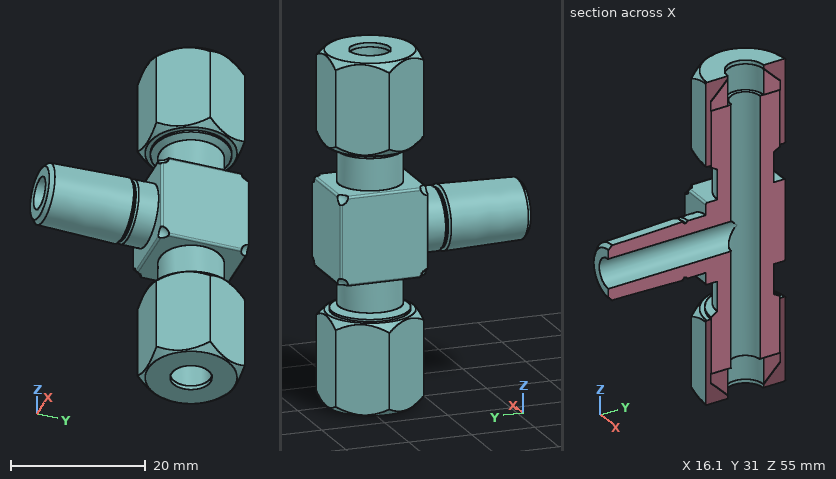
import cadquery as cq
import math

TOTAL_HEIGHT = 55.0
HALF_HEIGHT = TOTAL_HEIGHT / 2

BLOCK_WIDTH = 12.1
BLOCK_EDGE_RADIUS = 0.35
CORNER_NOTCH_RADIUS = 1.25

FLOW_DIAMETER = 5.0
TUBE_HOLE_DIAMETER = 6.2

NECK_RADIUS = 4.95
THREAD_RADIUS = 6.05
THREAD_START = 12.7
THREAD_CHAMFER_HEIGHT = 0.65

BRANCH_REACH = 17.0
GROOVE_START = 10.1
GROOVE_END = 11.0
GROOVE_FLANK = 0.35
GROOVE_RADIUS = 4.6
TAPER_START_RADIUS = 5.05
TAPER_END_RADIUS = 4.75
TIP_CHAMFER = 0.65

NUT_ACROSS_CORNERS = 16.15
NUT_START = 13.05
NUT_FACE_RADIUS = 6.8
NUT_LIP = 0.65

RING_LENGTH = 4.4

NUT_ACROSS_FLATS = NUT_ACROSS_CORNERS * math.cos(math.radians(30))
BLOCK_SIDE = NUT_ACROSS_FLATS
BRANCH_LENGTH = BLOCK_SIDE / 2 + BRANCH_REACH
FLOW_RADIUS = FLOW_DIAMETER / 2
TUBE_RADIUS = TUBE_HOLE_DIAMETER / 2
RING_OUTER_END = HALF_HEIGHT - NUT_LIP
STUD_END = RING_OUTER_END - RING_LENGTH
RING_CONE_END = RING_OUTER_END - (THREAD_RADIUS - TUBE_RADIUS)

END_SIGNS = (1, -1)


def revolved(profile):
    """Solid of revolution about Z from (radius, height) points."""
    return cq.Workplane("XZ").polyline(profile).close().revolve(360, (0, 0, 0), (0, 1, 0))


def facing(solid, sign):
    """Leave an upper-end solid in place, or mirror it to the lower end."""
    if sign > 0:
        return solid
    return solid.mirror("XY")


def make_block():
    """Rounded central block with ball notches at its eight corners."""
    block = cq.Workplane("XY").box(BLOCK_WIDTH, BLOCK_SIDE, BLOCK_SIDE)
    corners = block.vertices().vals()
    block = block.edges().fillet(BLOCK_EDGE_RADIUS)
    for corner in corners:
        outward_turn = math.degrees(math.atan2(corner.Y, corner.X))
        ball = cq.Workplane("XY").sphere(CORNER_NOTCH_RADIUS)
        ball = ball.rotate((0, 0, 0), (0, 0, 1), outward_turn)
        block = block.cut(ball.translate(corner.toTuple()))
    return block


def make_stud():
    """Upper stud: plain neck, then the wider threaded end."""
    return revolved([
        (0, 0),
        (NECK_RADIUS, 0),
        (NECK_RADIUS, THREAD_START - THREAD_CHAMFER_HEIGHT),
        (THREAD_RADIUS, THREAD_START),
        (THREAD_RADIUS, STUD_END),
        (0, STUD_END),
    ])


def make_branch():
    """Side branch: neck, groove with sloping sides and tapered end with a chamfered tip."""
    branch = revolved([
        (0, 0),
        (NECK_RADIUS, 0),
        (NECK_RADIUS, GROOVE_START),
        (GROOVE_RADIUS, GROOVE_START + GROOVE_FLANK),
        (GROOVE_RADIUS, GROOVE_END - GROOVE_FLANK),
        (TAPER_START_RADIUS, GROOVE_END),
        (TAPER_END_RADIUS, BRANCH_LENGTH - TIP_CHAMFER),
        (TAPER_END_RADIUS - TIP_CHAMFER, BRANCH_LENGTH),
        (0, BRANCH_LENGTH),
    ])
    return branch.rotate((0, 0, 0), (1, 0, 0), 90)


def make_tee():
    """Block, two studs and branch in one piece, with the T-shaped passage."""
    tee = make_block().union(make_branch())
    for sign in END_SIGNS:
        tee = tee.union(facing(make_stud(), sign))
    run_passage = cq.Workplane("XY").cylinder(TOTAL_HEIGHT, FLOW_RADIUS)
    branch_passage = cq.Workplane("XZ").circle(FLOW_RADIUS).extrude(BRANCH_LENGTH)
    return tee.cut(run_passage).cut(branch_passage)


def make_nut(sign):
    """Hexagon nut chamfered at both ends, bored for the stud, the ring and the tube."""
    corner_radius = NUT_ACROSS_CORNERS / 2
    chamfer = corner_radius - NUT_FACE_RADIUS
    hexagon = (
        cq.Workplane("XY", origin=(0, 0, NUT_START))
        .polygon(6, NUT_ACROSS_CORNERS)
        .extrude(HALF_HEIGHT - NUT_START)
    )
    chamfered_envelope = revolved([
        (0, NUT_START),
        (NUT_FACE_RADIUS, NUT_START),
        (corner_radius, NUT_START + chamfer),
        (corner_radius, HALF_HEIGHT - chamfer),
        (NUT_FACE_RADIUS, HALF_HEIGHT),
        (0, HALF_HEIGHT),
    ])
    bore = revolved([
        (0, NUT_START),
        (THREAD_RADIUS, NUT_START),
        (THREAD_RADIUS, RING_CONE_END),
        (TUBE_RADIUS, RING_OUTER_END),
        (TUBE_RADIUS, HALF_HEIGHT),
        (0, HALF_HEIGHT),
    ])
    return facing(hexagon.intersect(chamfered_envelope).cut(bore), sign)


def make_cutting_ring(sign):
    """Ring held between the stud end and the conical shoulder of the nut."""
    ring = revolved([
        (TUBE_RADIUS, STUD_END),
        (THREAD_RADIUS, STUD_END),
        (THREAD_RADIUS, RING_CONE_END),
        (TUBE_RADIUS, RING_OUTER_END),
    ])
    return facing(ring, sign)


tee = make_tee()
nuts = [make_nut(sign) for sign in END_SIGNS]
cutting_rings = [make_cutting_ring(sign) for sign in END_SIGNS]

result = cq.Compound.makeCompound([
    tee.solids().val(),
    *[nut.solids().val() for nut in nuts],
    *[ring.solids().val() for ring in cutting_rings],
])